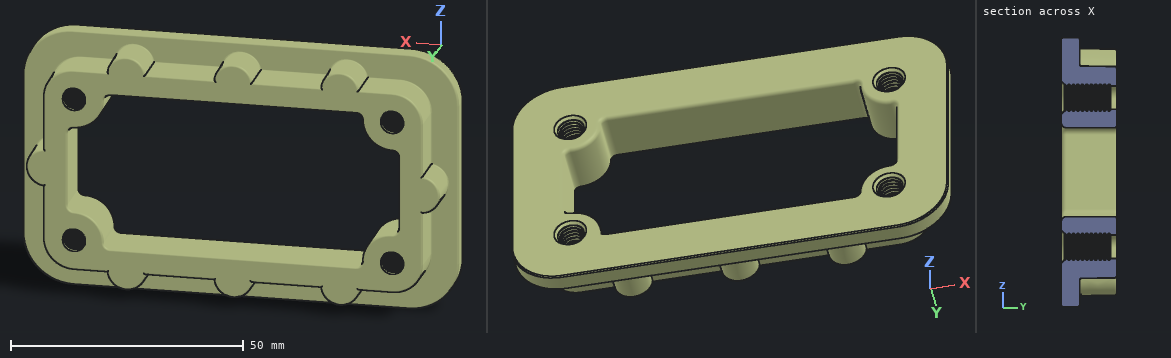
import cadquery as cq
import math

PLATE_WIDTH = 96.1
PLATE_HEIGHT = 58.0
PLATE_THICKNESS = 4.0
PLATE_CORNER_RADIUS = 11.0
PLATE_FRONT_CHAMFER = 0.3
PLATE_BACK_FILLET = 0.5
TOTAL_DEPTH = 12.0

HOLE_X = 35.1
HOLE_Z = 16.0
THREAD_MINOR_RADIUS = 2.5
THREAD_MAJOR_RADIUS = 2.9
THREAD_CREST_FLAT = 0.24
THREAD_ROOT_FLAT = 0.125
THREAD_PITCH = 1.0
HOLE_MOUTH_RADIUS = 3.6

SCREW_BOSS_RADIUS = 6.5
WINDOW_CORNER_RADIUS = 1.4
WINDOW_FRONT_FILLET = 1.2
WINDOW_BACK_FILLET = 0.5

COLLAR_CORNER_RADIUS = 6.7
COLLAR_BACK_FILLET = 0.5
COLLAR_ROOT_FILLET = 0.3
COLLAR_DRAFT = 0.8
RIB_RADIUS = 4.2
RIB_SPACING = 23.5
RIB_INSET = 0.5

PICK_MARGIN = 0.1

COLLAR_HEIGHT = TOTAL_DEPTH - PLATE_THICKNESS
COLLAR_HALF_WIDTH = HOLE_X + COLLAR_CORNER_RADIUS
COLLAR_HALF_HEIGHT = HOLE_Z + COLLAR_CORNER_RADIUS
WINDOW_HALF_WIDTH = HOLE_X + WINDOW_CORNER_RADIUS
WINDOW_HALF_HEIGHT = HOLE_Z + WINDOW_CORNER_RADIUS
HOLE_CENTRES = [(x, z) for x in (-HOLE_X, HOLE_X) for z in (-HOLE_Z, HOLE_Z)]


def plane_at(y):
    """Sketch plane at depth y whose axes are X and Z and whose normal points to the front."""
    return cq.Workplane("XZ", origin=(0, y, 0))


def make_plate():
    """Rounded front plate with a chamfered front edge and a rounded back edge."""
    plate = (
        plane_at(0)
        .rect(PLATE_WIDTH, PLATE_HEIGHT)
        .extrude(-PLATE_THICKNESS)
        .edges("|Y")
        .fillet(PLATE_CORNER_RADIUS)
    )
    plate = plate.faces("<Y").chamfer(PLATE_FRONT_CHAMFER)
    return plate.faces(">Y").edges().fillet(PLATE_BACK_FILLET)


def make_collar():
    """Collar with ribs, sized at its back end and widening by the draft toward the plate."""
    collar = (
        plane_at(TOTAL_DEPTH)
        .sketch()
        .rect(2 * COLLAR_HALF_WIDTH, 2 * COLLAR_HALF_HEIGHT)
        .vertices()
        .fillet(COLLAR_CORNER_RADIUS)
        .finalize()
        .extrude(COLLAR_HEIGHT, taper=-COLLAR_DRAFT)
    )
    side_x = COLLAR_HALF_WIDTH - RIB_INSET
    side_z = COLLAR_HALF_HEIGHT - RIB_INSET
    rib_centres = [(x, z) for x in (-RIB_SPACING, 0, RIB_SPACING) for z in (-side_z, side_z)]
    rib_centres += [(-side_x, 0), (side_x, 0)]
    ribs = (
        plane_at(TOTAL_DEPTH)
        .pushPoints(rib_centres)
        .circle(RIB_RADIUS)
        .extrude(COLLAR_HEIGHT, taper=-COLLAR_DRAFT)
    )
    collar = collar.union(ribs)
    return collar.faces(">Y").edges().fillet(COLLAR_BACK_FILLET)


def window_outline():
    """Rectangle whose corners step around the screw bosses with rounded inner corners."""
    diagonal = math.sqrt(0.5)
    boss_reach = SCREW_BOSS_RADIUS * diagonal
    corner_reach = WINDOW_CORNER_RADIUS * diagonal
    top_x = HOLE_X - SCREW_BOSS_RADIUS - WINDOW_CORNER_RADIUS
    side_z = HOLE_Z - SCREW_BOSS_RADIUS - WINDOW_CORNER_RADIUS
    quarter = (
        plane_at(0)
        .moveTo(0, WINDOW_HALF_HEIGHT)
        .lineTo(top_x, WINDOW_HALF_HEIGHT)
        .threePointArc(
            (top_x + corner_reach, HOLE_Z + corner_reach),
            (HOLE_X - SCREW_BOSS_RADIUS, HOLE_Z),
        )
        .threePointArc(
            (HOLE_X - boss_reach, HOLE_Z - boss_reach),
            (HOLE_X, HOLE_Z - SCREW_BOSS_RADIUS),
        )
        .threePointArc(
            (HOLE_X + corner_reach, side_z + corner_reach),
            (WINDOW_HALF_WIDTH, side_z),
        )
        .lineTo(WINDOW_HALF_WIDTH, 0)
    )
    return quarter.mirrorX().mirrorY()


def make_threaded_hole(x, z):
    """Revolved cutter: conical mouth, then a ring groove for every thread turn."""
    mouth_depth = HOLE_MOUTH_RADIUS - THREAD_MAJOR_RADIUS
    flank = (THREAD_PITCH - THREAD_CREST_FLAT - THREAD_ROOT_FLAT) / 2
    turns = math.floor((TOTAL_DEPTH - mouth_depth) / THREAD_PITCH)
    profile = [(0, 0), (HOLE_MOUTH_RADIUS, 0)]
    for turn in range(turns):
        root_start = mouth_depth + turn * THREAD_PITCH
        root_end = root_start + THREAD_ROOT_FLAT
        crest_start = root_end + flank
        profile += [
            (THREAD_MAJOR_RADIUS, root_start),
            (THREAD_MAJOR_RADIUS, root_end),
            (THREAD_MINOR_RADIUS, crest_start),
            (THREAD_MINOR_RADIUS, crest_start + THREAD_CREST_FLAT),
        ]
    profile += [(THREAD_MINOR_RADIUS, TOTAL_DEPTH), (0, TOTAL_DEPTH)]
    cutter = cq.Workplane("XY").polyline(profile).close().revolve(360, (0, 0), (0, 1))
    return cutter.translate((x, 0, z))


def edges_at_depth(y, half_width, half_height):
    """Selector for the edges lying at depth y within the given half sizes."""
    return cq.selectors.BoxSelector(
        (-half_width - PICK_MARGIN, y - PICK_MARGIN, -half_height - PICK_MARGIN),
        (half_width + PICK_MARGIN, y + PICK_MARGIN, half_height + PICK_MARGIN),
        boundingbox=True,
    )


def cut_window(body):
    """Cut the window through, round its front edge and its back edge."""
    body = body.cut(window_outline().extrude(-TOTAL_DEPTH))
    front_edges = edges_at_depth(0, WINDOW_HALF_WIDTH, WINDOW_HALF_HEIGHT)
    body = body.edges(front_edges).fillet(WINDOW_FRONT_FILLET)
    back_edges = edges_at_depth(TOTAL_DEPTH, WINDOW_HALF_WIDTH, WINDOW_HALF_HEIGHT)
    return body.edges(back_edges).fillet(WINDOW_BACK_FILLET)


frame = make_plate().union(make_collar())

ROOT_HALF_WIDTH = PLATE_WIDTH / 2 - 2 * PLATE_BACK_FILLET
ROOT_HALF_HEIGHT = PLATE_HEIGHT / 2 - 2 * PLATE_BACK_FILLET
collar_root = edges_at_depth(PLATE_THICKNESS, ROOT_HALF_WIDTH, ROOT_HALF_HEIGHT)
frame = frame.edges(collar_root).fillet(COLLAR_ROOT_FILLET)

frame = cut_window(frame)
for hole_x, hole_z in HOLE_CENTRES:
    frame = frame.cut(make_threaded_hole(hole_x, hole_z))

result = frame